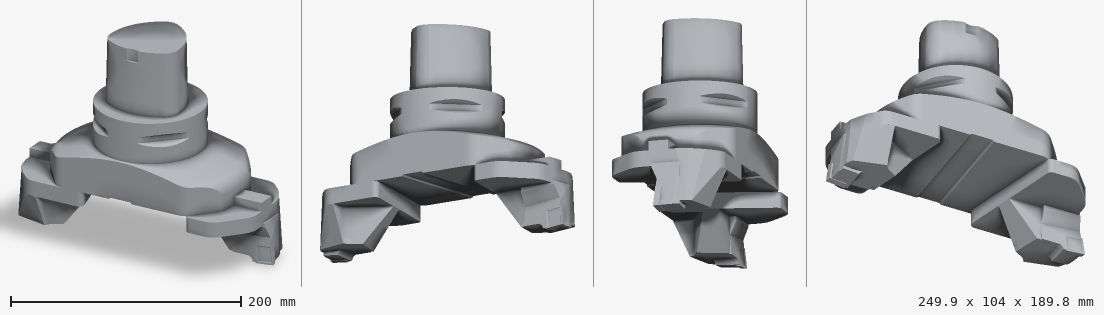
import cadquery as cq
import math


BIG = 400.0

WIDTH = 104.0
HALF_WIDTH = WIDTH / 2
HOUSING_RADIUS = 90.1
SHOULDER_ANGLE = 18.0
SHOULDER_ROUND = 14.0
CORNER_ANGLE = 50.0
CORNER_ROUND = 15.0
HOUSING_CORNER_X = 64.6
NECK_RADIUS = 50.0
NECK_BASE_Z = 37.9
NECK_TOP_Z = 76.3
RELIEF_HALF_LENGTH = 10.0
RELIEF_DEPTH = 1.5

POCKET_COUNT = 4
POCKET_FIRST_ANGLE = 45.0
POCKET_FLOOR_RADIUS = 44.2
POCKET_FLOOR_HEIGHT = 5.4
POCKET_FLANK_ANGLE = 29.0
POCKET_CENTER_Z = 59.7

SHANK_LENGTH = 60.0
SHANK_TAPER = 1.5
TIP_CORNER_RADIUS = 13.5
CORNER_CENTER_RADIUS = 24.0
TIP_SIDE_RADIUS = 52.5
SIDE_CENTER_RADIUS = 21.0
SHANK_TOP_Z = NECK_TOP_Z + SHANK_LENGTH
NOTCH_RADIUS = 12.0
NOTCH_HALF_WIDTH = 5.8
NOTCH_FLOOR_Y = -29.2
NOTCH_DEPTH = 11.3

END_X = 116.6
PLATE_THICKNESS = 14.3
BLOCK_BOTTOM_Z = -48.0
BOTTOM_RELIEF_ANGLE = 1.4
ROOT_ROUND = 1.6
BACK_ANGLE = 15.0
BACK_CORNER_X = 65.9
BACK_ROUND = 4.5
FRONT_CORNER_X = 91.9
FRONT_ROUND = 17.0
FRONT_END_ROUND = 20.0
REAR_CORNER_ROUND = 15.0
REAR_CORNER_X = 93.3
KEY_HALF_WIDTH = 8.7
KEY_HEIGHT = 8.3

GULLET_X = 83.4
WALL_X = 85.2
REAR_FACE_ANGLE = 30.5
REAR_CORNER_Y = 34.4
REAR_ROUND = 10.0
INNER_SLOPE = 0.811
INNER_FACE_X = 52.1

NOSE_REAR_Y = 20.0
NOSE_FRONT_Y = -5.7
NOSE_TOP_Z = -12.2
NOSE_LIMIT_X = 130.0
FOOT_START_X = 100.2
FOOT_X = 104.2
FOOT_DROP_Z = -52.7

INSERT_SIDE = 18.0
INSERT_CLEARANCE = 12.0
INSERT_THICKNESS = 5.2
INSERT_CENTER = (115.15, -1.4, -43.74)
INSERT_ROLL = 5.5
INSERT_TILT = 5.0
BREAKER_SIDE = 14.6
BREAKER_FLOOR_SIDE = 13.2
BREAKER_DEPTH = 0.5
SCREW_HEAD_DIAMETER = 6.0
SCREW_DIAMETER = 4.7
SCREW_HEAD_DEPTH = 2.0
SCREW_LENGTH = 14.0
GULLET_SLOPE_TOP = 27.7
GULLET_SLOPE_BOTTOM = 16.0


def trim(body, p, q, r, outside):
    """Cut away everything beyond the plane through p, q, r, on the side of the point outside."""
    origin = cq.Vector(*p)
    along = cq.Vector(*q) - origin
    normal = along.cross(cq.Vector(*r) - origin)
    if normal.dot(cq.Vector(*outside) - origin) < 0:
        normal = normal * -1
    plane = cq.Plane(origin=origin, xDir=along, normal=normal)
    return body.cut(cq.Workplane(plane).rect(BIG, BIG).extrude(BIG))


def box(x_range, y_range, z_range):
    size = [high - low for low, high in (x_range, y_range, z_range)]
    return cq.Workplane("XY").box(*size, centered=False).translate((x_range[0], y_range[0], z_range[0]))


def polar(radius, angle):
    return (radius * math.cos(math.radians(angle)), radius * math.sin(math.radians(angle)))


def shank_outline(z, growth):
    """Rounded triangle with one corner toward +Y, every arc radius enlarged by growth."""
    corner_radius = TIP_CORNER_RADIUS + growth
    side_radius = TIP_SIDE_RADIUS + growth
    corner_center = polar(CORNER_CENTER_RADIUS, 0)
    side_center = polar(SIDE_CENTER_RADIUS, 240)
    tangent_angle = math.degrees(
        math.atan2(corner_center[1] - side_center[1], corner_center[0] - side_center[0])
    )
    tangent = polar(corner_radius, tangent_angle)
    joint_radius = math.hypot(corner_center[0] + tangent[0], tangent[1])
    joint_angle = math.degrees(math.atan2(tangent[1], corner_center[0] + tangent[0]))

    outline = cq.Workplane("XY", origin=(0, 0, z)).moveTo(*polar(joint_radius, 90 - joint_angle))
    for corner_angle in (90, 210, 330):
        corner_tip = polar(CORNER_CENTER_RADIUS + corner_radius, corner_angle)
        side_middle = polar(side_radius - SIDE_CENTER_RADIUS, corner_angle + 60)
        outline = outline.threePointArc(corner_tip, polar(joint_radius, corner_angle + joint_angle))
        outline = outline.threePointArc(side_middle, polar(joint_radius, corner_angle + 120 - joint_angle))
    return outline.wire().val()


def make_shank():
    root = shank_outline(NECK_TOP_Z, SHANK_TAPER)
    tip = shank_outline(SHANK_TOP_Z, 0)
    shank = cq.Workplane(cq.Solid.makeLoft([root, tip], True))
    notch = (
        cq.Workplane("XY", origin=(0, NOTCH_FLOOR_Y - NOTCH_RADIUS, SHANK_TOP_Z - NOTCH_DEPTH))
        .circle(NOTCH_RADIUS)
        .extrude(NOTCH_DEPTH)
    )
    notch_sides = box((-NOTCH_HALF_WIDTH, NOTCH_HALF_WIDTH), (-NECK_RADIUS, 0), (NECK_TOP_Z, SHANK_TOP_Z))
    return shank.cut(notch.intersect(notch_sides))


def make_gripper_pockets():
    flank = NECK_RADIUS - POCKET_FLOOR_RADIUS
    floor = POCKET_FLOOR_HEIGHT / 2
    mouth = floor + flank * math.tan(math.radians(POCKET_FLANK_ANGLE))
    pocket = (
        cq.Workplane("XZ", origin=(0, NECK_RADIUS, POCKET_CENTER_Z))
        .polyline(
            [
                (POCKET_FLOOR_RADIUS, -floor),
                (NECK_RADIUS, -mouth),
                (NECK_RADIUS, mouth),
                (POCKET_FLOOR_RADIUS, floor),
            ]
        )
        .close()
        .extrude(2 * NECK_RADIUS)
    )
    pockets = cq.Workplane("XY")
    for index in range(POCKET_COUNT):
        angle = POCKET_FIRST_ANGLE + index * 360 / POCKET_COUNT
        pockets = pockets.add(pocket.rotate((0, 0, 0), (0, 0, 1), angle))
    return pockets


def make_housing_base():
    corner_rise = math.tan(math.radians(CORNER_ANGLE))
    corner_run = HOUSING_RADIUS + 5 - HOUSING_CORNER_X
    end_half_width = HALF_WIDTH - corner_run * corner_rise
    end_x = HOUSING_CORNER_X + corner_run
    outline = [(HOUSING_CORNER_X, HALF_WIDTH), (end_x, end_half_width)]
    outline += [(x, -y) for x, y in reversed(outline)]
    outline += [(-x, -y) for x, y in outline]
    plan = cq.Workplane("XY").polyline(outline).close().extrude(NECK_BASE_Z)
    cylinder = cq.Workplane("XY").circle(HOUSING_RADIUS).extrude(NECK_BASE_Z)
    base = plan.intersect(cylinder).edges("|Z").fillet(CORNER_ROUND)

    slope = math.radians(SHOULDER_ANGLE)
    round_center_x = HOUSING_RADIUS - SHOULDER_ROUND
    cone_end_x = round_center_x + SHOULDER_ROUND * math.sin(slope)
    cone_end_z = NECK_BASE_Z - (cone_end_x - NECK_RADIUS) * math.tan(slope)
    round_center_z = cone_end_z - SHOULDER_ROUND * math.cos(slope)
    middle_x, middle_z = polar(SHOULDER_ROUND, (90 - SHOULDER_ANGLE) / 2)
    dome = (
        cq.Workplane("XZ")
        .lineTo(HOUSING_RADIUS, 0)
        .lineTo(HOUSING_RADIUS, round_center_z)
        .threePointArc((round_center_x + middle_x, round_center_z + middle_z), (cone_end_x, cone_end_z))
        .lineTo(NECK_RADIUS, NECK_BASE_Z)
        .lineTo(0, NECK_BASE_Z)
        .close()
        .revolve(360, (0, 0, 0), (0, 1, 0))
    )
    return base.intersect(dome)


def make_housing():
    neck = cq.Workplane("XY").circle(NECK_RADIUS).extrude(NECK_TOP_Z)
    for pocket in make_gripper_pockets().vals():
        neck = neck.cut(cq.Workplane(pocket))
    relief = (
        cq.Workplane("XZ", origin=(0, HALF_WIDTH, 0))
        .polyline(
            [
                (-RELIEF_HALF_LENGTH - RELIEF_DEPTH, 0),
                (RELIEF_HALF_LENGTH + RELIEF_DEPTH, 0),
                (RELIEF_HALF_LENGTH, RELIEF_DEPTH),
                (-RELIEF_HALF_LENGTH, RELIEF_DEPTH),
            ]
        )
        .close()
        .extrude(WIDTH)
    )
    return make_housing_base().union(neck).union(make_shank()).cut(relief)


def insert_plane():
    """Plane of the rake face, with its normal leaving the cutting side."""
    roll = math.radians(INSERT_ROLL)
    tilt = math.radians(INSERT_TILT)
    normal = (-math.sin(tilt) * math.sin(roll), -math.cos(tilt), math.sin(tilt) * math.cos(roll))
    return cq.Plane(origin=INSERT_CENTER, xDir=(math.cos(roll), 0, math.sin(roll)), normal=normal)


def make_insert_blank():
    return (
        cq.Workplane(insert_plane())
        .rect(INSERT_SIDE, INSERT_SIDE)
        .extrude(-INSERT_THICKNESS, taper=INSERT_CLEARANCE)
    )


def make_screw():
    head_radius = SCREW_HEAD_DIAMETER / 2
    shank_radius = SCREW_DIAMETER / 2
    top = -BREAKER_DEPTH
    profile = [
        (0, top),
        (head_radius, top),
        (shank_radius, top - SCREW_HEAD_DEPTH),
        (shank_radius, top - SCREW_LENGTH),
        (0, top - SCREW_LENGTH),
    ]
    rake = insert_plane()
    section = cq.Plane(origin=INSERT_CENTER, xDir=rake.xDir, normal=rake.yDir * -1)
    return cq.Workplane(section).polyline(profile).close().revolve(360, (0, 0, 0), (0, 1, 0))


def make_insert():
    breaker = (
        cq.Workplane(insert_plane())
        .rect(BREAKER_SIDE, BREAKER_SIDE)
        .workplane(offset=-BREAKER_DEPTH)
        .rect(BREAKER_FLOOR_SIDE, BREAKER_FLOOR_SIDE)
        .loft(ruled=True)
    )
    return make_insert_blank().cut(breaker).cut(make_screw())


def make_cartridge_blank():
    """Full-depth body with the plan outline of the plate and the leaning faces of its outer rear corner."""
    back_run = WIDTH * math.tan(math.radians(BACK_ANGLE))
    front_rise = (END_X - FRONT_CORNER_X) * math.tan(math.radians(CORNER_ANGLE))
    outer_x = END_X + 5
    outline = [
        (BACK_CORNER_X, -HALF_WIDTH),
        (FRONT_CORNER_X, -HALF_WIDTH),
        (END_X, front_rise - HALF_WIDTH),
        (END_X, NOSE_REAR_Y),
        (outer_x, NOSE_REAR_Y),
        (outer_x, HALF_WIDTH - (outer_x - REAR_CORNER_X)),
        (REAR_CORNER_X, HALF_WIDTH),
        (BACK_CORNER_X - back_run, HALF_WIDTH),
    ]
    blank = cq.Workplane("XY").polyline(outline).close().extrude(BLOCK_BOTTOM_Z)
    rounds = {0: BACK_ROUND, 1: FRONT_ROUND, 2: FRONT_END_ROUND, 6: REAR_CORNER_ROUND, 7: BACK_ROUND}
    for corner, radius in rounds.items():
        near = (*outline[corner], BLOCK_BOTTOM_Z / 2)
        blank = blank.edges(cq.selectors.NearestToPointSelector(near)).fillet(radius)

    facet_top = (114.4, 26.0, 0)
    end_top = (END_X, 15.4, 0)
    end_low = (END_X, NOSE_REAR_Y, NOSE_TOP_Z)
    corner_top = (106.1, 39.2, 0)
    corner_low = (115.2, 30.1, BLOCK_BOTTOM_Z)
    beyond = (BIG, BIG, 0)
    blank = trim(blank, end_top, end_low, facet_top, beyond)
    return trim(blank, corner_top, corner_low, facet_top, beyond)


def make_lower_block(blank):
    rear_slope = math.tan(math.radians(REAR_FACE_ANGLE))
    inner_x = BACK_CORNER_X - HALF_WIDTH
    plan = [
        (inner_x, 0),
        (GULLET_X, 0),
        (GULLET_X, NOSE_FRONT_Y),
        (NOSE_LIMIT_X, NOSE_FRONT_Y),
        (NOSE_LIMIT_X, HALF_WIDTH),
        (WALL_X, HALF_WIDTH),
        (WALL_X, REAR_CORNER_Y),
        (inner_x, REAR_CORNER_Y - (WALL_X - inner_x) * rear_slope),
    ]
    prism = (
        cq.Workplane("XY")
        .polyline(plan)
        .close()
        .extrude(BLOCK_BOTTOM_Z)
        .edges(cq.selectors.NearestToPointSelector((WALL_X, REAR_CORNER_Y, BLOCK_BOTTOM_Z / 2)))
        .fillet(REAR_ROUND)
    )
    block = blank.intersect(prism)

    drop = -BLOCK_BOTTOM_Z - PLATE_THICKNESS
    inner_top = (INNER_FACE_X, 0, -PLATE_THICKNESS)
    inner_low = (INNER_FACE_X + drop * INNER_SLOPE, 0, BLOCK_BOTTOM_Z)
    side_x = INNER_FACE_X - HALF_WIDTH * math.tan(math.radians(BACK_ANGLE))
    inner_side = (side_x, HALF_WIDTH, -PLATE_THICKNESS)
    block = trim(block, inner_top, inner_low, inner_side, (0, 0, BLOCK_BOTTOM_Z))

    wall_top = (WALL_X, HALF_WIDTH, -15.5)
    wall_low = (WALL_X, 36.7, BLOCK_BOTTOM_Z)
    outer_low = (115.2, 29.8, BLOCK_BOTTOM_Z)
    block = trim(block, wall_top, wall_low, outer_low, (WALL_X, BIG, -BIG))

    relief_rise = HALF_WIDTH * math.tan(math.radians(BOTTOM_RELIEF_ANGLE))
    bottom_start = (0, 0, BLOCK_BOTTOM_Z)
    bottom_along = (END_X, 0, BLOCK_BOTTOM_Z)
    bottom_rear = (0, HALF_WIDTH, BLOCK_BOTTOM_Z + relief_rise)
    return trim(block, bottom_start, bottom_along, bottom_rear, (0, 0, -BIG))


def make_nose():
    """Insert carrier: a faceted end that leans outward and a foot reaching below the block."""
    nose = box((END_X - 5, NOSE_LIMIT_X), (NOSE_FRONT_Y, NOSE_REAR_Y), (BLOCK_BOTTOM_Z, NOSE_TOP_Z))
    foot = (
        cq.Workplane("XZ", origin=(0, NOSE_REAR_Y, 0))
        .moveTo(FOOT_START_X, BLOCK_BOTTOM_Z)
        .threePointArc((FOOT_X - 1.3, -50.0), (FOOT_X, FOOT_DROP_Z))
        .lineTo(NOSE_LIMIT_X, FOOT_DROP_Z)
        .lineTo(NOSE_LIMIT_X, BLOCK_BOTTOM_Z)
        .close()
        .extrude(NOSE_REAR_Y - NOSE_FRONT_Y)
    )
    nose = nose.union(foot)

    top_front = (118.0, NOSE_FRONT_Y, NOSE_TOP_Z)
    top_rear = (118.0, 18.2, NOSE_TOP_Z)
    middle_front = (121.6, -0.7, -30.0)
    low_middle = (120.8, 14.3, -51.0)
    low_rear = (119.0, NOSE_REAR_Y, -51.0)
    beyond = (BIG, 0, 0)
    nose = trim(nose, top_front, top_rear, middle_front, beyond)
    nose = trim(nose, top_rear, middle_front, low_middle, beyond)
    nose = trim(nose, top_rear, low_middle, low_rear, beyond)

    foot_front = (FOOT_X, 0, FOOT_DROP_Z)
    foot_rear = (FOOT_X, NOSE_REAR_Y, -51.5)
    foot_outer = (124.5, 0, -51.0)
    return trim(nose, foot_front, foot_rear, foot_outer, (FOOT_X, 0, -BIG))


def make_gullet():
    """Space in front of the insert, bounded by a steep slope above and the rake plane below."""
    rake = insert_plane()
    section = cq.Plane(origin=INSERT_CENTER, xDir=(0, 1, 0), normal=rake.xDir)
    lean = math.tan(math.radians(INSERT_TILT))
    bottom = -INSERT_SIDE
    front = NOSE_FRONT_Y - INSERT_CENTER[1]
    clear = front - 2 * INSERT_SIDE
    profile = [
        (front, GULLET_SLOPE_TOP),
        (GULLET_SLOPE_BOTTOM * lean, GULLET_SLOPE_BOTTOM),
        (bottom * lean, bottom),
        (clear, bottom),
        (clear, GULLET_SLOPE_TOP),
    ]
    cut = cq.Workplane(section).polyline(profile).close().extrude(BIG / 2, both=True)
    return cut.intersect(box((GULLET_X, BIG), (-BIG, BIG), (-BIG, -PLATE_THICKNESS)))


def make_cartridge():
    blank = make_cartridge_blank()
    plate = blank.intersect(box((0, BIG), (-BIG, BIG), (-PLATE_THICKNESS, 0)))
    key = box((0, END_X), (-KEY_HALF_WIDTH, KEY_HALF_WIDTH), (0, KEY_HEIGHT))
    key = key.cut(cq.Workplane("XY").circle(HOUSING_RADIUS).extrude(KEY_HEIGHT))
    cartridge = plate.union(make_lower_block(blank))
    middle_x = (INNER_FACE_X + GULLET_X) / 2
    rear_y = REAR_CORNER_Y - (WALL_X - middle_x) * math.tan(math.radians(REAR_FACE_ANGLE))
    for y in (0, rear_y):
        near = (middle_x, y, -PLATE_THICKNESS)
        cartridge = cartridge.edges(cq.selectors.NearestToPointSelector(near)).fillet(ROOT_ROUND)
    cartridge = cartridge.union(make_nose()).union(key)
    return cartridge.cut(make_gullet()).cut(make_insert_blank()).cut(make_screw())


def both_ends(body):
    """Two copies of a body, half a turn apart about the head axis."""
    half_turn = cq.Location(cq.Vector(0, 0, 0), cq.Vector(0, 0, 1), 180)
    return [body.val(), body.val().moved(half_turn)]


housing = make_housing()
cartridges = both_ends(make_cartridge())
inserts = both_ends(make_insert())
screws = both_ends(make_screw())

result = cq.Compound.makeCompound([housing.val(), *cartridges, *inserts, *screws])